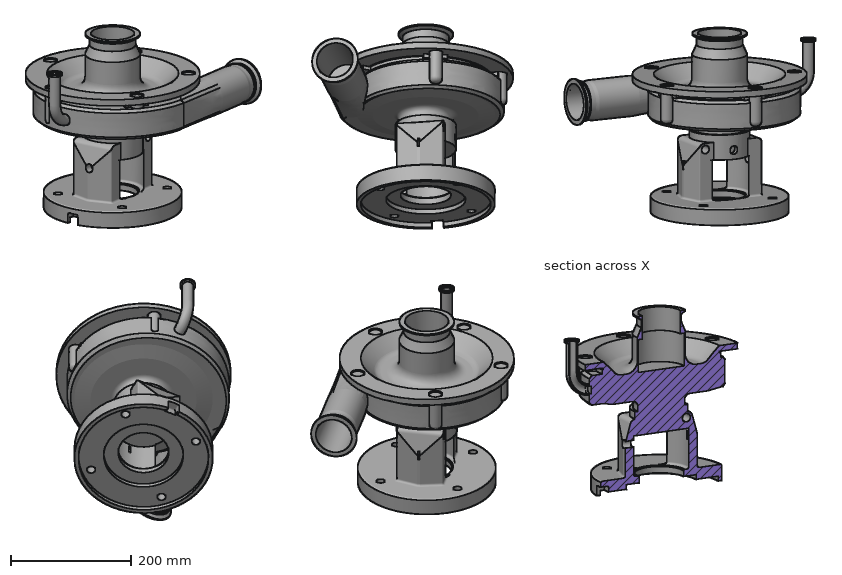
import cadquery as cq
import math

base_radius = 115
base_top = 28.7
base_edge_chamfer = 2
base_bore_radius = 42
base_bore_chamfer = 2
base_recess_radius = 66
base_recess_top = 16
register_radius = 108
register_depth = 8
base_bolt_radius = 7
base_bolt_circle_radius = 92
base_bolt_count = 4
base_bolt_start_angle = 45
notch_width = 20
notch_height = 18
notch_depth = 15
notch_corner = 2.7

leg_half_width = 39
leg_top = 127.4
leg_shoulder_y = 58.5
leg_ridge_y = 69
leg_ridge_width = 5
leg_bore_radius = 52
leg_corner_radius = 2.5
leg_foot_fillet = 4
leg_top_fillet = 10
leg_slope_bottom = 86
leg_slope_top_y = 57
leg_hole_radius = 7
ridge_hole_z = 85.3
cross_hole_y = 47.5
cross_hole_z = 117
slit_width = 3

hub_radius = 50.5
hub_bottom = 97.8
hub_top = 140
hub_hole_z = 113.6
hub_hole_depth = 10
neck_radius = 45
neck_fillet = 9

volute_bottom = 161.3
volute_top = 213
volute_end_radius = 144.5
volute_growth_per_turn = 30.8
volute_start_angle = 40
volute_angle_step = 20
volute_chamfer = 5
belly_bottom = 157.4
belly_inner_radius = 88
belly_outer_radius = 115
collar_radius = 113
collar_top = 220.7
spacer_radius = 111

flange_radius = 145
flange_bottom = 222.5
flange_top = 233.3
dish_radius = 109.5
dish_edge_chamfer = 1.8
dish_wall_foot_radius = 87
dish_floor_radius = 76.7
dish_floor = 207
dish_wall_foot_z = 211
dish_fillet = 20

stud_count = 5
stud_start_angle = 180
stud_circle_radius = 126
stud_radius = 10.7
stud_hole_radius = 11.3
stud_bottom = 168.3
stud_top = 231
stud_end_fillet = 8
pad_half_width = 20
pad_inner_radius = 105
pad_outer_radius = 125
pad_top = 219.5

inlet_top = 303
inlet_radius = 46
inlet_neck_radius = 38.6
inlet_clamp_radius = 45.6
inlet_bore_radius = 36.2
inlet_chamber_radius = 43
inlet_bore_bottom = 262.5
inlet_cone_bottom = 267
inlet_cone_top = 283.5

outlet_x = 115
outlet_z = 185.5
outlet_end_y = 211
outlet_radius = 33.9
outlet_neck_radius = 32.8
outlet_bore_radius = 30.5
outlet_clamp_radius = 38.66
outlet_pipe_start_y = 107
outlet_taper_start_y = 182.4
outlet_neck_start_y = 188.3
outlet_bead_start_y = 198
outlet_bead_width = 2
outlet_throat_inner_x = 90
outlet_throat_inset = 0.4

drain_z = 188
drain_y = -167
drain_top = 277
drain_radius = 9.6
drain_bore_radius = 7.7
drain_mouth_radius = 9.5
drain_mouth_depth = 1
drain_clamp_radius = 12.7
drain_lip = 2.8
drain_taper = 1.5
drain_bend_radius = 34

clamp_lip = 2.5
clamp_taper = 4


def disc(radius, bottom, top):
    """Vertical cylinder on the pump axis."""
    return cq.Workplane("XY").workplane(offset=bottom).circle(radius).extrude(top - bottom)


def rod(radius, start, direction, length):
    """Cylinder that begins at a point and runs along a direction."""
    return cq.Workplane(cq.Solid.makeCylinder(radius, length, cq.Vector(*start), cq.Vector(*direction)))


def make_leg():
    """Leg on the -Y side: pointed outer face, sloping shoulder, rounded top."""
    half_ridge = leg_ridge_width / 2
    leg = (
        cq.Workplane("XY")
        .workplane(offset=base_top)
        .polyline([
            (-leg_half_width, 0),
            (-leg_half_width, -leg_shoulder_y),
            (-half_ridge, -leg_ridge_y),
            (half_ridge, -leg_ridge_y),
            (leg_half_width, -leg_shoulder_y),
            (leg_half_width, 0),
        ])
        .close()
        .extrude(leg_top - base_top)
    )
    for side in (-1, 1):
        corner = (side * leg_half_width, -leg_shoulder_y, (base_top + leg_top) / 2)
        leg = leg.edges(cq.selectors.NearestToPointSelector(corner)).fillet(leg_corner_radius)
    side_profile = (
        cq.Workplane("YZ")
        .polyline([
            (0, base_top),
            (-leg_ridge_y, base_top),
            (-leg_ridge_y, leg_slope_bottom),
            (-leg_slope_top_y, leg_top),
            (0, leg_top),
        ])
        .close()
        .extrude(leg_half_width, both=True)
    )
    side_profile = side_profile.edges(">Z").edges("<Y").fillet(leg_top_fillet)
    return leg.intersect(side_profile).cut(disc(leg_bore_radius, base_top, hub_bottom))


def make_stand():
    """Base flange with both legs, its bore, register, bolt holes and rim notch."""
    base = disc(base_radius, 0, base_top).faces(">Z").chamfer(base_edge_chamfer)
    leg = make_leg()
    stand = base.union(leg).union(leg.rotate((0, 0, 0), (0, 0, 1), 180))
    margin = 1
    foot_region = cq.selectors.BoxSelector(
        (-leg_half_width - margin, -leg_ridge_y - margin, base_top - margin),
        (leg_half_width + margin, leg_ridge_y + margin, base_top + margin),
    )
    stand = stand.edges(foot_region).fillet(leg_foot_fillet)

    bore = disc(base_bore_radius, 0, base_top)
    bore_lip = cq.Workplane(cq.Solid.makeCone(
        base_bore_radius, base_bore_radius + base_bore_chamfer, base_bore_chamfer,
        cq.Vector(0, 0, base_top - base_bore_chamfer),
    ))
    stand = stand.cut(bore).cut(bore_lip)
    stand = stand.cut(disc(base_recess_radius, 0, base_recess_top))
    stand = stand.cut(disc(register_radius, 0, register_depth))
    bolts = (
        cq.Workplane("XY")
        .polarArray(base_bolt_circle_radius, base_bolt_start_angle, 360, base_bolt_count)
        .circle(base_bolt_radius)
        .extrude(base_top)
    )
    notch = (
        cq.Workplane("XY")
        .box(notch_width, 2 * notch_depth, notch_height, centered=(True, True, False))
        .faces(">Z")
        .edges()
        .fillet(notch_corner)
        .translate((0, -base_radius, 0))
    )
    return stand.cut(bolts).cut(notch)


def cut_leg_holes(body):
    """Ridge hole and slit along Y, cross hole along X."""
    ridge_hole = rod(leg_hole_radius, (0, -leg_ridge_y, ridge_hole_z), (0, 1, 0), leg_ridge_y)
    slit = cq.Workplane("XY").box(
        slit_width, leg_ridge_y, 2 * leg_hole_radius, centered=(True, False, True)
    ).translate((0, 0, ridge_hole_z))
    cross_hole = rod(
        leg_hole_radius, (-leg_half_width, cross_hole_y, cross_hole_z), (1, 0, 0), 2 * leg_half_width
    )
    hub_hole = rod(leg_hole_radius, (-hub_radius, 0, hub_hole_z), (1, 0, 0), hub_hole_depth)
    return body.cut(ridge_hole).cut(slit).cut(cross_hole).cut(hub_hole)


def make_hub():
    """Bearing hub, filleted neck and the shallow conical belly of the casing."""
    fillet_middle = neck_fillet * (1 - math.sqrt(0.5))
    return (
        cq.Workplane("XZ")
        .moveTo(0, hub_bottom)
        .lineTo(hub_radius, hub_bottom)
        .lineTo(hub_radius, hub_top)
        .lineTo(neck_radius, hub_top)
        .lineTo(neck_radius, belly_bottom - neck_fillet)
        .threePointArc(
            (neck_radius + fillet_middle, belly_bottom - fillet_middle),
            (neck_radius + neck_fillet, belly_bottom),
        )
        .lineTo(belly_inner_radius, belly_bottom)
        .lineTo(belly_outer_radius, volute_bottom)
        .lineTo(0, volute_bottom)
        .close()
        .revolve(360, (0, 0, 0), (0, 1, 0))
    )


def spiral_point(angle_degrees):
    """Point on the volute outline at an angle from +X."""
    radius = volute_end_radius - volute_growth_per_turn * (1 - angle_degrees / 360)
    angle = math.radians(angle_degrees)
    return radius * math.cos(angle), radius * math.sin(angle)


def make_volute():
    """Spiral casing with chamfered rims and the collar under the cover."""
    angles = range(volute_start_angle, 360 + volute_angle_step, volute_angle_step)
    outline = [spiral_point(angle) for angle in angles]
    spiral = (
        cq.Workplane("XY")
        .workplane(offset=volute_bottom)
        .spline(outline)
        .close()
        .extrude(volute_top - volute_bottom)
        .faces("<Z or >Z")
        .chamfer(volute_chamfer)
    )
    collar = disc(collar_radius, volute_top, collar_top)
    return spiral.union(collar).union(disc(spacer_radius, collar_top, flange_bottom))


def make_cover():
    """Flat cover flange."""
    return disc(flange_radius, flange_bottom, flange_top)


def make_dish():
    """Ring-shaped hollow around the inlet, with a fillet up to the nozzle."""
    bevel_radius = dish_radius - dish_edge_chamfer
    fillet_middle = dish_fillet * (1 - math.sqrt(0.5))
    return (
        cq.Workplane("XZ")
        .moveTo(inlet_radius, flange_top)
        .lineTo(inlet_radius, dish_floor + dish_fillet)
        .threePointArc(
            (inlet_radius + fillet_middle, dish_floor + fillet_middle),
            (inlet_radius + dish_fillet, dish_floor),
        )
        .lineTo(dish_floor_radius, dish_floor)
        .tangentArcPoint((dish_wall_foot_radius, dish_wall_foot_z), relative=False)
        .lineTo(bevel_radius, flange_top - dish_edge_chamfer)
        .lineTo(dish_radius, flange_top)
        .close()
        .revolve(360, (0, 0, 0), (0, 1, 0))
    )


def make_inlet():
    """Inlet nozzle: cylinder, cone, neck and clamp ferrule."""
    lip_bottom = inlet_top - clamp_lip
    return (
        cq.Workplane("XZ")
        .polyline([
            (0, dish_floor),
            (inlet_radius, dish_floor),
            (inlet_radius, inlet_cone_bottom),
            (inlet_neck_radius, inlet_cone_top),
            (inlet_neck_radius, lip_bottom - clamp_taper),
            (inlet_clamp_radius, lip_bottom),
            (inlet_clamp_radius, inlet_top),
            (0, inlet_top),
        ])
        .close()
        .revolve(360, (0, 0, 0), (0, 1, 0))
    )


def make_inlet_bore():
    """Nozzle bore with a wider chamber below it, down to the dish floor."""
    chamber = disc(inlet_chamber_radius, dish_floor, inlet_bore_bottom)
    return disc(inlet_bore_radius, inlet_bore_bottom, inlet_top).union(chamber)


def make_stud():
    """Round-ended stud crossing the X axis on the +X side, with a flat pad on the casing top."""
    stud = (
        cq.Workplane("XY")
        .workplane(offset=stud_bottom)
        .center(stud_circle_radius, 0)
        .circle(stud_radius)
        .extrude(stud_top - stud_bottom)
        .faces("<Z")
        .edges()
        .fillet(stud_end_fillet)
    )
    pad = cq.Workplane("XY").box(
        pad_outer_radius - pad_inner_radius, 2 * pad_half_width,
        pad_top - volute_top, centered=(False, True, False),
    ).translate((pad_inner_radius, 0, volute_top))
    return stud, pad


def add_studs(body):
    """Drill the cover for the studs, then set studs and pads round the axis."""
    stud, pad = make_stud()
    hole = rod(stud_hole_radius, (stud_circle_radius, 0, volute_top), (0, 0, 1), flange_top - volute_top)
    for index in range(stud_count):
        angle = stud_start_angle + 360 / stud_count * index
        turned_stud, turned_pad, turned_hole = [
            shape.rotate((0, 0, 0), (0, 0, 1), angle) for shape in (stud, pad, hole)
        ]
        body = body.union(turned_pad).cut(turned_hole).union(turned_stud)
    return body


def make_outlet():
    """Discharge nozzle: throat blending into a pipe, neck and clamp ferrule."""
    throat_outer_x = volute_end_radius - outlet_throat_inset
    throat_width = throat_outer_x - outlet_throat_inner_x
    throat_height = volute_top - volute_bottom - 2 * outlet_throat_inset
    throat_x = (throat_outer_x + outlet_throat_inner_x) / 2
    throat_z = (volute_top + volute_bottom) / 2
    throat_outline = (
        cq.Sketch().rect(throat_width, throat_height).vertices().chamfer(volute_chamfer)
    ).moved(cq.Location(cq.Vector(-throat_x, throat_z, 0)))
    pipe_outline = cq.Sketch().circle(outlet_radius).moved(cq.Location(cq.Vector(-outlet_x, outlet_z, 0)))
    facing_y = cq.Plane((0, 0, 0), (-1, 0, 0), (0, 1, 0))
    throat = (
        cq.Workplane(facing_y)
        .placeSketch(throat_outline, pipe_outline.moved(cq.Location(cq.Vector(0, 0, outlet_pipe_start_y))))
        .loft()
    )
    lip_start = outlet_end_y - clamp_lip
    bead_end = outlet_bead_start_y + outlet_bead_width
    pipe = (
        cq.Workplane("XY")
        .polyline([
            (0, outlet_pipe_start_y),
            (outlet_radius, outlet_pipe_start_y),
            (outlet_radius, outlet_taper_start_y),
            (outlet_neck_radius, outlet_neck_start_y),
            (outlet_neck_radius, outlet_bead_start_y),
            (outlet_radius, outlet_bead_start_y),
            (outlet_radius, bead_end),
            (outlet_neck_radius, bead_end),
            (outlet_neck_radius, lip_start - clamp_taper),
            (outlet_clamp_radius, lip_start),
            (outlet_clamp_radius, outlet_end_y),
            (0, outlet_end_y),
        ])
        .close()
        .revolve(360, (0, 0, 0), (0, 1, 0))
        .translate((outlet_x, 0, outlet_z))
    )
    return throat.union(pipe)


def make_outlet_bore():
    """Straight bore along the cylindrical part of the discharge pipe."""
    start = (outlet_x, outlet_pipe_start_y, outlet_z)
    return rod(outlet_bore_radius, start, (0, 1, 0), outlet_end_y - outlet_pipe_start_y)


def drain_sweep(radius):
    """Round bar along the drain path: quarter bend, then straight up."""
    bend_start_y = drain_y + drain_bend_radius
    bend_middle = drain_bend_radius * math.sqrt(0.5)
    path = (
        cq.Workplane("YZ")
        .moveTo(bend_start_y, drain_z)
        .threePointArc(
            (bend_start_y - bend_middle, drain_z + drain_bend_radius - bend_middle),
            (drain_y, drain_z + drain_bend_radius),
        )
        .lineTo(drain_y, drain_top)
    )
    return cq.Workplane("XZ", origin=(0, bend_start_y, drain_z)).circle(radius).sweep(path)


def make_drain():
    """Drain tube with its clamp lip at the top."""
    lip_bottom = drain_top - drain_lip
    lip = rod(drain_clamp_radius, (0, drain_y, lip_bottom), (0, 0, 1), drain_lip)
    taper = cq.Workplane(cq.Solid.makeCone(
        drain_radius, drain_clamp_radius, drain_taper, cq.Vector(0, drain_y, lip_bottom - drain_taper)
    ))
    return drain_sweep(drain_radius).union(taper).union(lip)


def make_drain_bore():
    """Bore along the drain tube, flared at its mouth."""
    mouth = cq.Workplane(cq.Solid.makeCone(
        drain_bore_radius, drain_mouth_radius, drain_mouth_depth,
        cq.Vector(0, drain_y, drain_top - drain_mouth_depth),
    ))
    return drain_sweep(drain_bore_radius).union(mouth)


body = make_stand().union(make_hub())
body = cut_leg_holes(body)
body = body.union(make_volute()).union(make_outlet()).union(make_cover())
body = body.cut(make_dish()).union(make_inlet()).cut(make_inlet_bore())
body = add_studs(body)
body = body.union(make_drain())
result = body.cut(make_drain_bore()).cut(make_outlet_bore())